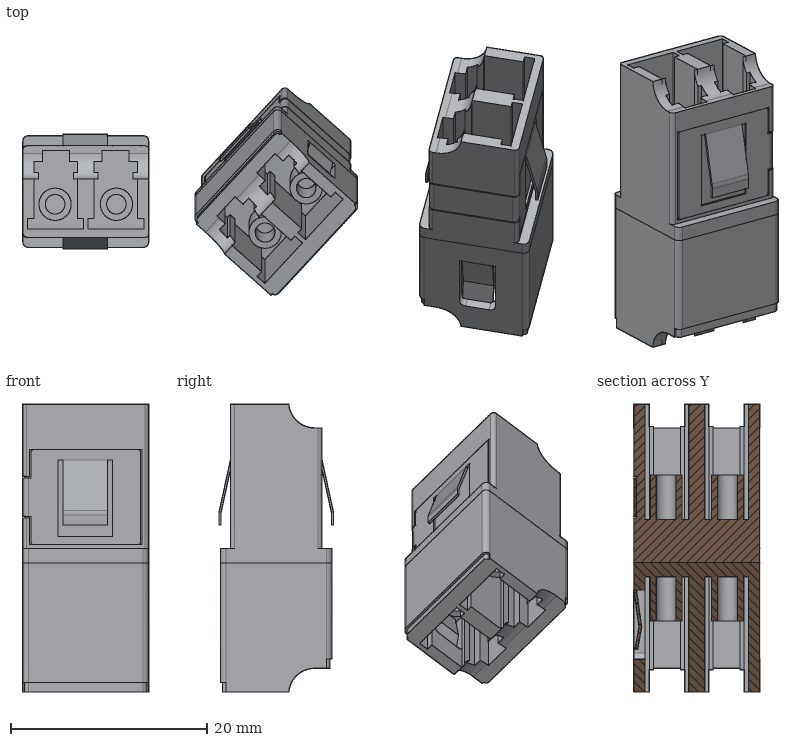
import cadquery as cq
import math

WIDTH = 12.85
LENGTH = 29.35
UPPER_DEPTH = 9.35
LOWER_DEPTH = 11.4
CLIP_SPAN = 11.7

SEAM_Z = 13.17
FLANGE_TOP = 14.65
UPPER_CORNER = 0.4
LOWER_CORNER = 0.6
SCALLOP_RADIUS = 2.6
SCALLOP_DEPTH = 2.4
SCALLOP_EDGE_Y = 1.3
LIP_INSET = 0.2
LIP_HEIGHT = 0.97

PORT_DEPTH = 11.75
PORT_PITCH = 6.07
PORT_WIDTH = 4.43
PORT_TOP_Y = 3.05
PORT_BOTTOM_Y = -3.8
KEY_WIDTH = 2.73
KEY_TOP_Y = 4.17
FOOT_PITCH = 6.15
FOOT_WIDTH = 5.7
FOOT_TOP_Y = -2.75
RIB_HEIGHT = 0.4
RIB_TOP_Y = 1.97
RIB_BOTTOM_Y = SCALLOP_EDGE_Y

BOSS_PITCH = 6.25
BOSS_Y = -1.3
BOSS_RADIUS = 1.65
BOSS_BORE_RADIUS = 1.0
BOSS_END_Z = 7.22
BOSS_LENGTH = PORT_DEPTH - BOSS_END_Z

CLIP_THICKNESS = 0.23
SEAT_WIDTH = 11.45
SEAT_BOTTOM = 15.02
SEAT_TOP = 24.7
CLIP_GAP = 0.15
PLATE_CORNER = 0.25
STRAP_BOTTOM = 17.9
STRAP_TOP = 21.83
STRAP_CORNER = 0.6
CLIP_WINDOW_WIDTH = 5.57
CLIP_WINDOW_CENTER_X = -0.05
CLIP_WINDOW_BOTTOM = 15.87
CLIP_WINDOW_TOP = 23.65
TONGUE_WIDTH = 4.55
TONGUE_BEND_Z = 18.28
TONGUE_BOTTOM = 17.02
TONGUE_BEND_RADIUS = 2.35

WINDOW_CENTER_Y = -0.4
WINDOW_WIDTH = 3.75
WINDOW_BOTTOM = 3.35
WINDOW_TOP = 10.4
WINDOW_CORNER = 0.65
FLAP_GAP = 0.3
FLAP_BOTTOM = 4.35
FLAP_BEND_Z = 6.63
FLAP_BEND_DEPTH = 0.53
FLAP_TIP_DEPTH = 0.12
FLAP_THICKNESS = 0.3
FLAP_CORNER = 0.23


def box(x_min, x_max, y_min, y_max, z_min, z_max):
    """Axis-aligned block between two corners."""
    size = (x_max - x_min, y_max - y_min, z_max - z_min)
    return cq.Workplane("XY").box(*size, centered=False).translate((x_min, y_min, z_min))


def rounded_block(depth, corner, z_min, z_max):
    """Full-width block with its four upright edges rounded."""
    block = box(-WIDTH / 2, WIDTH / 2, -depth / 2, depth / 2, z_min, z_max)
    return block.edges("|Z").fillet(corner)


def both_sides(shape):
    """The shape together with its mirror image on the +Y side."""
    return shape.union(shape.mirror("XZ"))


def mirror_ends(shape):
    """Mirror a feature of the bottom end to the top end."""
    return shape.mirror("XY", (0, 0, LENGTH / 2))


def port_cavity(side):
    """Connector cavity; side is -1 for the -X port and 1 for the +X port."""
    center = side * PORT_PITCH / 2
    foot_center = side * FOOT_PITCH / 2
    wall = PORT_WIDTH / 2
    key = box(center - KEY_WIDTH / 2, center + KEY_WIDTH / 2, PORT_BOTTOM_Y, KEY_TOP_Y, 0, PORT_DEPTH)
    body = box(center - wall, center + wall, PORT_BOTTOM_Y, PORT_TOP_Y, 0, PORT_DEPTH)
    foot = box(
        foot_center - FOOT_WIDTH / 2, foot_center + FOOT_WIDTH / 2, PORT_BOTTOM_Y, FOOT_TOP_Y, 0, PORT_DEPTH
    )
    cavity = key.union(body).union(foot)
    for direction in (-1, 1):
        rib_x = center + direction * (wall - RIB_HEIGHT / 2)
        rib = box(
            rib_x - RIB_HEIGHT / 2, rib_x + RIB_HEIGHT / 2, RIB_BOTTOM_Y, RIB_TOP_Y, 0, PORT_DEPTH
        )
        cavity = cavity.cut(rib)
    return cavity.cut(ferrule_boss(side))


def ferrule_boss(side):
    """Hollow boss that stands on the port floor."""
    base = cq.Workplane("XY", origin=(side * BOSS_PITCH / 2, BOSS_Y, BOSS_END_Z))
    return base.circle(BOSS_RADIUS).circle(BOSS_BORE_RADIUS).extrude(BOSS_LENGTH)


def finger_scallop():
    """Concave relief across the +Y edge of the end face."""
    center_offset = SCALLOP_RADIUS - SCALLOP_DEPTH
    center_y = SCALLOP_EDGE_Y + math.sqrt(SCALLOP_RADIUS**2 - center_offset**2)
    outline = (
        cq.Workplane("YZ", origin=(-WIDTH / 2, 0, 0))
        .moveTo(SCALLOP_EDGE_Y, 0)
        .radiusArc((center_y, SCALLOP_DEPTH), SCALLOP_RADIUS)
        .lineTo(LOWER_DEPTH, SCALLOP_DEPTH)
        .lineTo(LOWER_DEPTH, 0)
        .close()
    )
    return outline.extrude(WIDTH)


def end_cutout():
    """Everything removed from one end: both ports and the scallop."""
    return port_cavity(-1).union(port_cavity(1)).union(finger_scallop())


def clip_seat():
    """Shallow pockets on both Y faces joined by a groove round the -X face."""
    face = UPPER_DEPTH / 2
    floor = face - CLIP_THICKNESS
    pocket = box(-SEAT_WIDTH / 2, SEAT_WIDTH / 2, -face, -floor, SEAT_BOTTOM, SEAT_TOP)
    groove_bottom = STRAP_BOTTOM - CLIP_GAP
    groove_top = STRAP_TOP + CLIP_GAP
    slab = box(-WIDTH / 2, -SEAT_WIDTH / 2, -face, face, groove_bottom, groove_top)
    return both_sides(pocket).union(slab.cut(strap_core(groove_bottom, groove_top)))


def strap_core(z_min, z_max):
    """Rounded core of the housing that the strap wraps on the -X side."""
    floor = UPPER_DEPTH / 2 - CLIP_THICKNESS
    core = box(-WIDTH / 2 + CLIP_THICKNESS, WIDTH / 2, -floor, floor, z_min, z_max)
    return core.edges("|Z and <X").fillet(STRAP_CORNER - CLIP_THICKNESS)


def make_upper_housing():
    flange = rounded_block(LOWER_DEPTH, LOWER_CORNER, SEAM_Z, FLANGE_TOP)
    tower = rounded_block(UPPER_DEPTH, UPPER_CORNER, SEAM_Z, LENGTH)
    return flange.union(tower).cut(mirror_ends(end_cutout())).cut(clip_seat())


def side_window():
    """Opening from the -X face into the -X port."""
    depth = (WIDTH - PORT_PITCH - PORT_WIDTH) / 2
    window = box(
        -WIDTH / 2, -WIDTH / 2 + depth,
        WINDOW_CENTER_Y - WINDOW_WIDTH / 2, WINDOW_CENTER_Y + WINDOW_WIDTH / 2,
        WINDOW_BOTTOM, WINDOW_TOP,
    )
    return window.edges("|X and <Z").fillet(WINDOW_CORNER)


def lip_step(side, z_min):
    """Step along one Y face and round its two corners; side is -1 for -Y and 1 for +Y."""
    z_max = z_min + LIP_HEIGHT
    core = box(
        LIP_INSET - WIDTH / 2, WIDTH / 2 - LIP_INSET,
        LIP_INSET - LOWER_DEPTH / 2, LOWER_DEPTH / 2 - LIP_INSET,
        z_min, z_max,
    )
    core = core.edges("|Z").fillet(LOWER_CORNER - LIP_INSET)
    edge = LOWER_DEPTH / 2
    y_min, y_max = sorted((side * (edge - LOWER_CORNER), side * edge))
    return box(-WIDTH / 2, WIDTH / 2, y_min, y_max, z_min, z_max).cut(core)


def make_lower_housing():
    block = rounded_block(LOWER_DEPTH, LOWER_CORNER, 0, SEAM_Z).cut(end_cutout())
    block = block.cut(lip_step(-1, 0)).cut(lip_step(1, SCALLOP_DEPTH))
    return block.cut(side_window())


def clip_plate():
    """Plate on the -Y face with its tongue window."""
    face = UPPER_DEPTH / 2
    half_width = SEAT_WIDTH / 2 - CLIP_GAP
    plate = box(-half_width, half_width, -face, CLIP_THICKNESS - face, SEAT_BOTTOM, SEAT_TOP)
    plate = plate.edges("|Y").fillet(PLATE_CORNER)
    opening = box(
        CLIP_WINDOW_CENTER_X - CLIP_WINDOW_WIDTH / 2, CLIP_WINDOW_CENTER_X + CLIP_WINDOW_WIDTH / 2,
        -face, CLIP_THICKNESS - face,
        CLIP_WINDOW_BOTTOM, CLIP_WINDOW_TOP,
    )
    return plate.cut(opening)


def clip_tongue():
    """Tongue that leans out from the top of the window, then hangs straight."""
    root_y = -UPPER_DEPTH / 2
    tip_y = -CLIP_SPAN / 2
    inner_tip_y = tip_y + CLIP_THICKNESS
    outline = (
        cq.Workplane("YZ", origin=(CLIP_WINDOW_CENTER_X - TONGUE_WIDTH / 2, 0, 0))
        .moveTo(root_y, CLIP_WINDOW_TOP)
        .lineTo(tip_y, TONGUE_BEND_Z)
        .lineTo(tip_y, TONGUE_BOTTOM)
        .lineTo(inner_tip_y, TONGUE_BOTTOM)
        .lineTo(inner_tip_y, TONGUE_BEND_Z)
        .lineTo(root_y + CLIP_THICKNESS, CLIP_WINDOW_TOP)
        .close()
    )
    tongue = outline.extrude(TONGUE_WIDTH)
    outer_bend = cq.selectors.NearestToPointSelector((CLIP_WINDOW_CENTER_X, tip_y, TONGUE_BEND_Z))
    return tongue.edges("|X").edges(outer_bend).fillet(TONGUE_BEND_RADIUS)


def clip_strap():
    """Strap round the -X face that ties the two plates together."""
    face = UPPER_DEPTH / 2
    plate_edge_x = CLIP_GAP - SEAT_WIDTH / 2
    overlap_x = plate_edge_x + CLIP_THICKNESS
    strap = box(-WIDTH / 2, overlap_x, -face, face, STRAP_BOTTOM, STRAP_TOP)
    strap = strap.edges("|Z and <X").fillet(STRAP_CORNER)
    return strap.cut(strap_core(STRAP_BOTTOM, STRAP_TOP))


def make_spring_clip():
    side = clip_plate().union(clip_tongue())
    return both_sides(side).union(clip_strap())


def make_shutter_flap():
    """Bent leaf: slopes inward from the window's top edge, then back outward."""
    face = -WIDTH / 2
    width = WINDOW_WIDTH - 2 * FLAP_GAP
    bend_x = face + FLAP_BEND_DEPTH
    tip_x = face + FLAP_TIP_DEPTH
    outline = (
        cq.Workplane("XZ", origin=(0, WINDOW_CENTER_Y + width / 2, 0))
        .moveTo(face, WINDOW_TOP)
        .lineTo(bend_x, FLAP_BEND_Z)
        .lineTo(tip_x, FLAP_BOTTOM)
        .lineTo(tip_x + FLAP_THICKNESS, FLAP_BOTTOM)
        .lineTo(bend_x + FLAP_THICKNESS, FLAP_BEND_Z)
        .lineTo(face + FLAP_THICKNESS, WINDOW_TOP)
        .close()
    )
    flap = outline.extrude(width)
    return flap.faces("<Z").edges("|X").fillet(FLAP_CORNER)


upper_housing = make_upper_housing()
lower_housing = make_lower_housing()
spring_clip = make_spring_clip()
shutter_flap = make_shutter_flap()

result = cq.Compound.makeCompound(
    [upper_housing.val(), lower_housing.val(), spring_clip.val(), shutter_flap.val()]
)